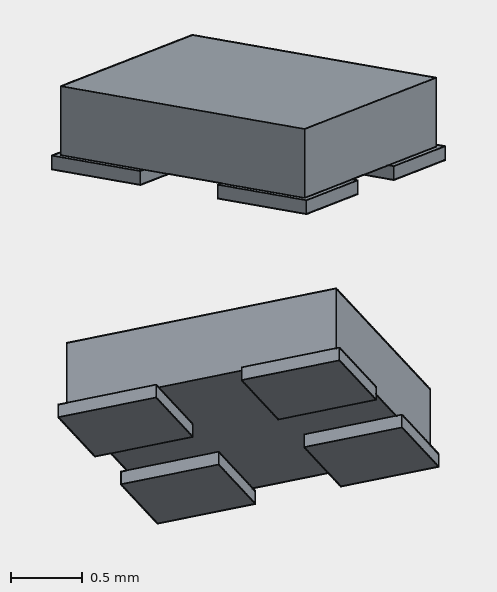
import cadquery as cq

overall_length = 2.14
overall_width = 1.74
overall_height = 0.6

pad_length = 0.745
pad_width = 0.645
pad_thickness = 0.1

pad_overhang = 0.045

housing_length = overall_length - 2 * pad_overhang
housing_width = overall_width - 2 * pad_overhang
housing_height = overall_height - pad_thickness

pad_center_x = (overall_length - pad_length) / 2
pad_center_y = (overall_width - pad_width) / 2


def make_housing():
    """Rectangular block resting on top of the pads."""
    return (
        cq.Workplane("XY")
        .workplane(offset=pad_thickness)
        .rect(housing_length, housing_width)
        .extrude(housing_height)
    )


def make_pad(side_x, side_y):
    """Flat contact pad at the corner given by the signs of X and Y."""
    return (
        cq.Workplane("XY")
        .center(side_x * pad_center_x, side_y * pad_center_y)
        .rect(pad_length, pad_width)
        .extrude(pad_thickness)
    )


housing = make_housing()
pads = [make_pad(side_x, side_y) for side_x in (-1, 1) for side_y in (-1, 1)]

result = cq.Compound.makeCompound([housing.val(), *[pad.val() for pad in pads]])